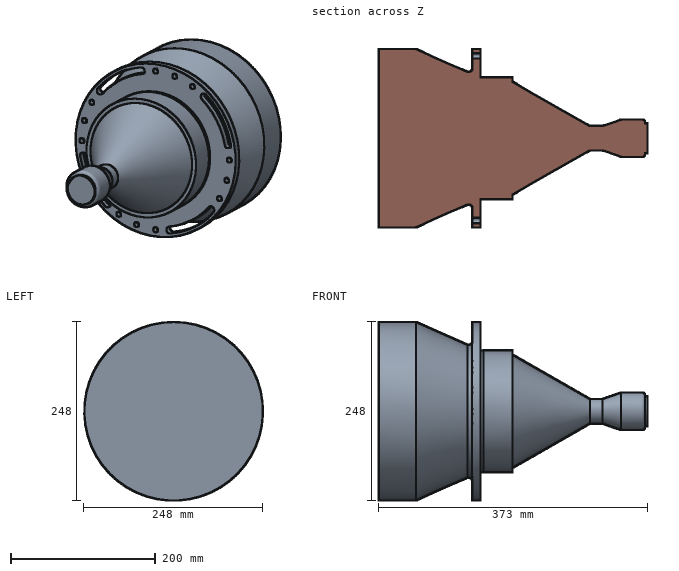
import cadquery as cq
import math

LENGTH = 373.0
DRUM_END = 53.0
RIM_EDGE = 1.0
WAIST_START = 123.0
FLANGE_START = 129.8
FLANGE_END = 141.5
BOSS_EDGE = 145.5
BOSS_END = 185.8
CONE_END = 292.8
NECK_START = 294.3
NECK_END = 310.7
KNOB_START = 336.5
KNOB_EDGE = 365.5
KNOB_END = 369.5

OUTER_RADIUS = 124.02
RIM_STEP = 0.5
WAIST_RADIUS = 92.5
WAIST_FILLET = 4.5
BOSS_RADIUS = 84.85
BOSS_STEP = 0.2
CONE_RADIUS = 78.7
NECK_RADIUS = 17.35
KNOB_RADIUS = 26.3
KNOB_ROUND = KNOB_END - KNOB_EDGE
TIP_RADIUS = 21.0

PITCH_RADIUS = 114.0
QUADRANTS = 4
HOLE_DIAMETER = 7.0
HOLE_ANGLES = (0, 60, 75)
SLOT_WIDTH = 9.7
SLOT_START = 11.0
SLOT_END = 49.0


def turned_body():
    """Half profile revolved about the X axis."""
    half_root = math.sqrt(0.5)
    fillet_mid = (
        FLANGE_START - WAIST_FILLET * (1 - half_root),
        WAIST_RADIUS + WAIST_FILLET * (1 - half_root),
    )
    round_mid = (
        KNOB_EDGE + KNOB_ROUND * half_root,
        KNOB_RADIUS - KNOB_ROUND * (1 - half_root),
    )
    profile = (
        cq.Workplane("XZ")
        .lineTo(0, OUTER_RADIUS)
        .lineTo(DRUM_END - RIM_EDGE, OUTER_RADIUS)
        .lineTo(DRUM_END, OUTER_RADIUS - RIM_STEP)
        .lineTo(WAIST_START, WAIST_RADIUS)
        .lineTo(FLANGE_START - WAIST_FILLET, WAIST_RADIUS)
        .threePointArc(fillet_mid, (FLANGE_START, WAIST_RADIUS + WAIST_FILLET))
        .lineTo(FLANGE_START, OUTER_RADIUS)
        .lineTo(FLANGE_END, OUTER_RADIUS)
        .lineTo(FLANGE_END, BOSS_RADIUS - BOSS_STEP)
        .lineTo(BOSS_EDGE, BOSS_RADIUS - BOSS_STEP)
        .lineTo(BOSS_EDGE, BOSS_RADIUS)
        .lineTo(BOSS_END, BOSS_RADIUS)
        .lineTo(BOSS_END, CONE_RADIUS)
        .lineTo(CONE_END, NECK_RADIUS)
        .lineTo(NECK_START, NECK_RADIUS)
        .lineTo(NECK_END, NECK_RADIUS)
        .lineTo(KNOB_START, KNOB_RADIUS)
        .lineTo(KNOB_EDGE, KNOB_RADIUS)
        .threePointArc(round_mid, (KNOB_END, KNOB_RADIUS - KNOB_ROUND))
        .lineTo(KNOB_END, TIP_RADIUS)
        .lineTo(LENGTH, TIP_RADIUS)
        .lineTo(LENGTH, 0)
        .close()
    )
    return profile.revolve(360, (0, 0, 0), (1, 0, 0))


def on_circle(radius, angle):
    """Point in the YZ plane at an angle measured from +Y toward +Z."""
    turn = math.radians(angle)
    return (radius * math.cos(turn), radius * math.sin(turn))


def flange_plane():
    return cq.Workplane("YZ", origin=(FLANGE_START, 0, 0))


def bolt_holes(thickness):
    """Three small through holes per quadrant."""
    centers = [
        on_circle(PITCH_RADIUS, quadrant * 360 / QUADRANTS + angle)
        for quadrant in range(QUADRANTS)
        for angle in HOLE_ANGLES
    ]
    return flange_plane().pushPoints(centers).circle(HOLE_DIAMETER / 2).extrude(thickness)


def curved_slot(start, end, thickness):
    """Round-ended slot along the pitch circle; the angles locate its end centers."""
    middle = (start + end) / 2
    inner = PITCH_RADIUS - SLOT_WIDTH / 2
    outer = PITCH_RADIUS + SLOT_WIDTH / 2
    end_bulge = math.degrees(SLOT_WIDTH / 2 / PITCH_RADIUS)
    outline = (
        flange_plane()
        .moveTo(*on_circle(inner, start))
        .threePointArc(on_circle(inner, middle), on_circle(inner, end))
        .threePointArc(on_circle(PITCH_RADIUS, end + end_bulge), on_circle(outer, end))
        .threePointArc(on_circle(outer, middle), on_circle(outer, start))
        .threePointArc(on_circle(PITCH_RADIUS, start - end_bulge), on_circle(inner, start))
        .close()
    )
    return outline.extrude(thickness)


flange_thickness = FLANGE_END - FLANGE_START
result = turned_body().cut(bolt_holes(flange_thickness))
for quadrant in range(QUADRANTS):
    turn = quadrant * 360 / QUADRANTS
    result = result.cut(curved_slot(SLOT_START + turn, SLOT_END + turn, flange_thickness))